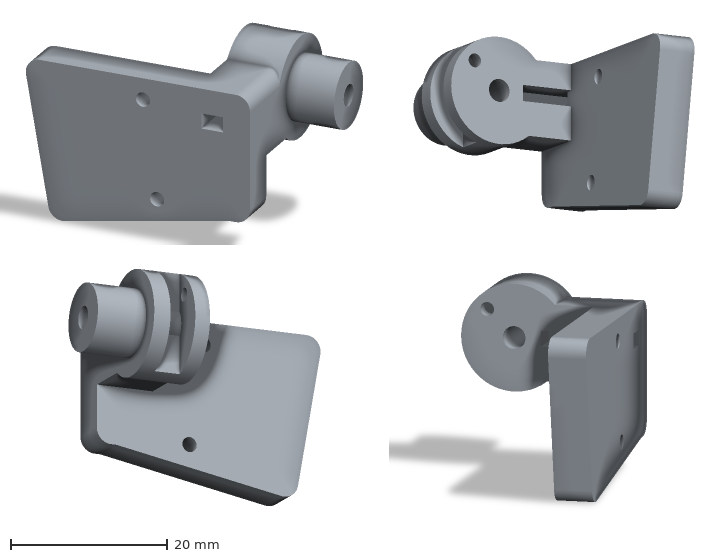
import cadquery as cq
import math

plate_thickness = 5.0
plate_right = 31.5
corner_radius = 2.0
taper = math.radians(10)
screw_hole_diameter = 2.0
screw_hole_centers = [(16.45, 18.85), (18.45, 5.35)]
right_corner_z = 4.15
taper_start_x = 28.75

head_diameter = 14.0
head_width = 7.85
head_left = plate_right - head_width
axis_y = 15.5
axis_z = 17.3
spigot_diameter = 9.0
spigot_end = 38.3
bore_diameter = 3.0

arm_height = 10.0
plate_top = axis_z + spigot_diameter / 2
arm_bottom = plate_top - arm_height

slot_left = 25.75
slot_width = 3.5
slot_wall_y = 17.73
hub_radius = 2.7

cross_pin_diameter = 1.8
cross_pin_offset = 3.55

channel_left = 24.7
channel_width = 3.02
channel_bottom = 16.27
channel_height = 2.1
channel_end_y = 12.02


def box(x0, x1, y0, y1, z0, z1):
    """Box spanning the given coordinate limits."""
    return cq.Workplane("XY").box(x1 - x0, y1 - y0, z1 - z0, centered=False).translate((x0, y0, z0))


def x_cylinder(radius, x0, x1, y=axis_y, z=axis_z):
    """Cylinder along X between x0 and x1."""
    return cq.Workplane("YZ", origin=(x0, y, z)).circle(radius).extrude(x1 - x0)


def make_plate():
    """Plate whose left and bottom sides are perpendicular and tilted by the taper."""
    slope = math.tan(taper)
    top_left_x = corner_radius - corner_radius * (1 + math.sin(taper)) / math.cos(taper)
    drop_at_top_left = right_corner_z - (taper_start_x - top_left_x) * slope
    side_length = (plate_top - drop_at_top_left) * math.cos(taper)
    low_x = top_left_x + side_length * math.sin(taper)
    low_z = plate_top - side_length * math.cos(taper)
    outline = [
        (top_left_x, plate_top),
        (plate_right, plate_top),
        (plate_right, right_corner_z),
        (taper_start_x, right_corner_z),
        (low_x, low_z),
    ]
    plate = cq.Workplane("XZ").polyline(outline).close().extrude(-plate_thickness)
    for x, z in (outline[0], outline[2], outline[4]):
        corner = cq.selectors.NearestToPointSelector((x, plate_thickness / 2, z))
        plate = plate.edges("|Y").edges(corner).fillet(corner_radius)
    holes = cq.Workplane("XZ").pushPoints(screw_hole_centers).circle(screw_hole_diameter / 2)
    return plate.cut(holes.extrude(-plate_thickness))


def make_slot():
    """Slot open to the back, top and bottom of the head, bulged in by the hub."""
    slot_right = slot_left + slot_width
    head_radius = head_diameter / 2
    slot = box(
        slot_left, slot_right,
        slot_wall_y, axis_y + head_radius,
        axis_z - head_radius, axis_z + head_radius,
    )
    return slot.cut(x_cylinder(hub_radius, slot_left, slot_right))


def make_channel():
    """Opening through the plate leading to a pocket in the left face of the arm."""
    right = channel_left + channel_width
    top = channel_bottom + channel_height
    opening = box(channel_left, right, 0, channel_end_y, channel_bottom, top)
    pocket = box(head_left, right, plate_thickness, channel_end_y, channel_bottom, top)
    return opening.union(pocket)


arm = box(head_left, plate_right, 0, axis_y, arm_bottom, plate_top)
body = make_plate().union(arm)
body = body.edges("|Y and >X and >Z").fillet(corner_radius)

head = x_cylinder(head_diameter / 2, head_left, plate_right)
spigot = x_cylinder(spigot_diameter / 2, plate_right, spigot_end)
bore = x_cylinder(bore_diameter / 2, head_left, spigot_end)
cross_pin_hole = x_cylinder(
    cross_pin_diameter / 2, head_left, slot_left,
    axis_y + cross_pin_offset, axis_z + cross_pin_offset,
)

result = body.union(head).union(spigot)
result = result.cut(bore).cut(make_slot()).cut(cross_pin_hole).cut(make_channel())